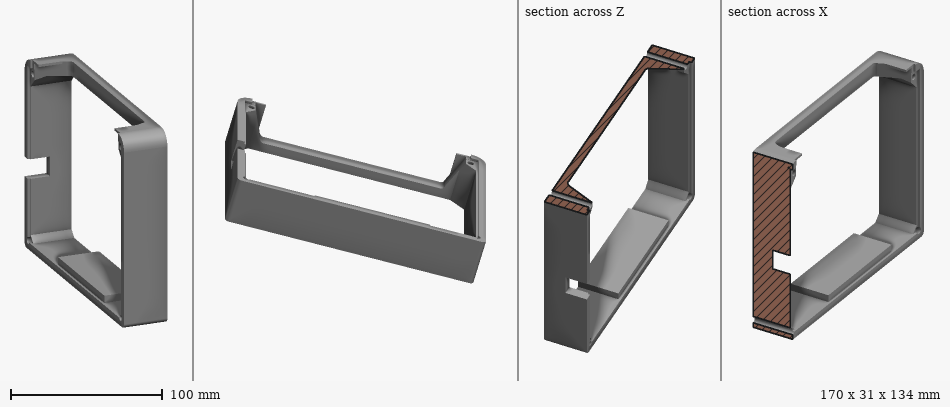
import cadquery as cq

width, depth, height = 170.0, 31.0, 134.0
top_corner_radius = 10.2
bottom_corner_radius = 3.0

side_wall = 6.3
floor_wall = 5.1
top_wall = 10.2
top_gusset = 9.7
bottom_gusset = 4.6

seat_depth = 1.7
seat_exit_depth = 1.5
seat_side = 5.1
seat_top = 5.6

hole_diameter = 4.5
top_hole_inset = 10.0
bottom_hole_inset = 6.0

back_wall = 6.3
cutout_back = depth - back_wall
left_front_inset = 12.8
right_front_inset = 13.3
lip_inset = 19.9
lip_thickness = 1.7
right_slant_end_inset = 22.1
right_slant_end_depth = 22.6
right_corner_end_inset = 24.3
left_slant_end_inset = 20.9
left_slant_end_depth = 21.2
left_corner_end_inset = 23.8
left_corner_bulge = 0.5

pad_left, pad_right = 53.2, 132.3
pad_top = 10.2

notch_bottom, notch_top = 49.1, 62.9
notch_depth = 15.5


def block(x0, x1, y0, y1, z0, z1):
    """Box between two opposite corners."""
    return cq.Workplane("XY").box(x1 - x0, y1 - y0, z1 - z0, centered=False).translate((x0, y0, z0))


def frame():
    """Rounded outer block with a chamfer-cornered opening through it."""
    body = block(0, width, 0, depth, 0, height)
    body = body.edges("|Y and >Z").fillet(top_corner_radius)
    body = body.edges("|Y and <Z").fillet(bottom_corner_radius)
    opening = block(side_wall, width - side_wall, 0, depth, floor_wall, height - top_wall)
    opening = opening.edges("|Y and >Z").chamfer(top_gusset)
    opening = opening.edges("|Y and <Z").chamfer(bottom_gusset)
    return body.cut(opening)


def cover_seat():
    """Front recess with a slightly shallower strip running out through the top."""
    main = block(seat_side, width - seat_side, 0, seat_depth, floor_wall, height - seat_top)
    exit_at_top = block(top_corner_radius, width - top_corner_radius, 0, seat_exit_depth, floor_wall, height)
    return main.union(exit_at_top)


def screw_holes():
    """Four holes through the full depth."""
    centers = []
    for inset, z in ((top_hole_inset, height - top_hole_inset), (bottom_hole_inset, bottom_hole_inset)):
        centers += [(inset, z), (width - inset, z)]
    return cq.Workplane("XZ").pushPoints(centers).circle(hole_diameter / 2).extrude(-depth)


def top_cutout():
    """Slant-sided cutout of the top wall, less the lips left above its ends."""
    cutter_bottom = height / 2
    outline = (
        cq.Workplane("XY", origin=(0, 0, cutter_bottom))
        .moveTo(left_front_inset, 0)
        .lineTo(left_front_inset, seat_depth)
        .lineTo(left_slant_end_inset, left_slant_end_depth)
        .sagittaArc((left_corner_end_inset, cutout_back), left_corner_bulge)
        .lineTo(width - right_corner_end_inset, cutout_back)
        .tangentArcPoint((width - right_slant_end_inset, right_slant_end_depth), relative=False)
        .lineTo(width - right_front_inset, seat_depth)
        .lineTo(width - right_front_inset, 0)
        .close()
    )
    cutter = outline.extrude(height - cutter_bottom)
    lip_bottom = height - lip_thickness
    left_lip = block(0, lip_inset, seat_exit_depth, depth, lip_bottom, height)
    right_lip = block(width - lip_inset, width, seat_exit_depth, depth, lip_bottom, height)
    return cutter.cut(left_lip).cut(right_lip)


pad = block(pad_left, pad_right, seat_depth, depth, floor_wall, pad_top)
notch = block(0, side_wall, 0, notch_depth, notch_bottom, notch_top)

result = frame().cut(cover_seat()).cut(top_cutout()).cut(screw_holes()).cut(notch).union(pad)